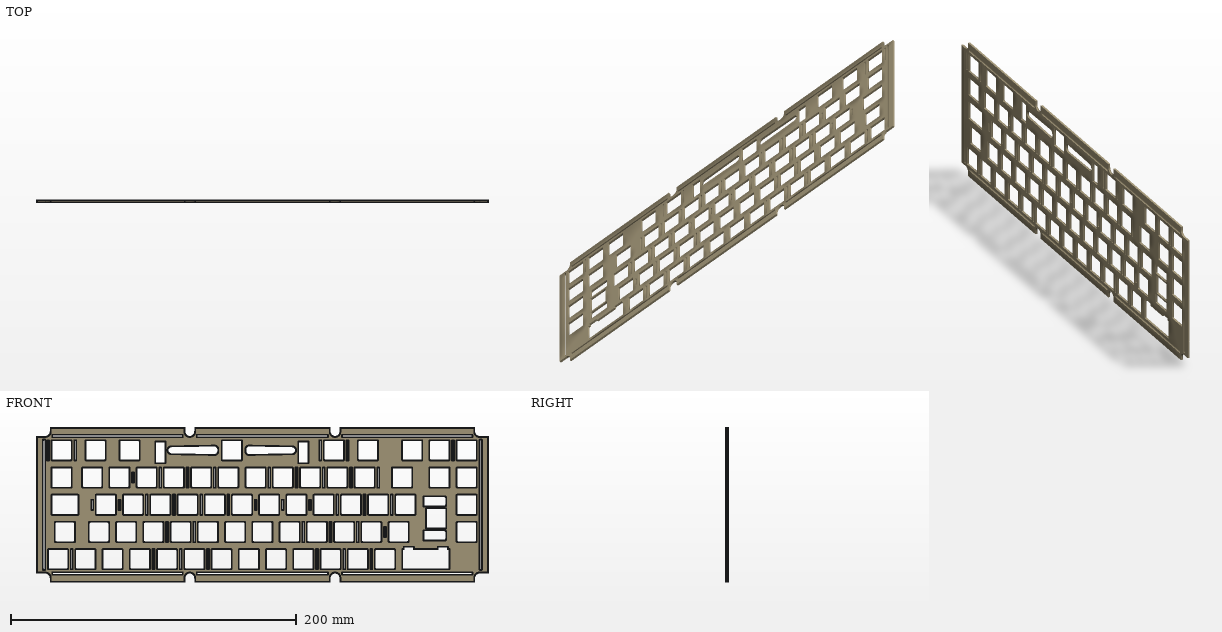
import cadquery as cq

thickness = 1.5
pitch = 19.05
units_wide = 16
row_count = 5

overall_width = 315.75
bump_out = 0.1
plate_width = overall_width - bump_out
plate_height = 107.7
side_strip_height = 95.0
rail_end_x = 148.2
relief_radius = 3.65
relief_x = 50.8
bump_bottom = -45.4
bump_top = -34.0

slit_width = 1.5
rail_width = 5.0
rail_slit_inset = 1.3
side_strip_width = 4.35
side_slit_length = 91.5

switch_size = 14.0
switch_corner_radius = 0.5
flex_slot_width = 1.2
flex_slot_long = 14.0
flex_slot_short = 7.0
stab_width = 7.0
stab_reach_open = 8.7
stab_spacing = 23.8
wide_stab_spacing = 100.0
wide_stab_above = 6.0
wide_stab_below = 9.0
stab_corner_radius = 1.0
backspace_opening_width = 33.0
taper_inner = 9.6
taper_length = 35.2
taper_wide_height = 6.5
taper_narrow_height = 5.2
taper_corner_radius = 2.4

switch_rows = [
    [0.5 + i for i in range(13)],
    [0.75] + [2 + i for i in range(12)] + [15.5],
    [2.25 + i for i in range(12)] + [15.5],
    [0.625] + [1.75 + i for i in range(11)] + [13.125, 14.5, 15.5],
    [0.625, 1.875, 3.125, 6.875, 10.625, 11.875, 13.5, 14.5, 15.5],
]
long_slot_rows = [
    [1, 4, 5, 6, 10, 11, 12],
    [4.5, 5.5, 9.5, 10.5, 11.5],
    [3.75, 4.75, 5.75, 6.75, 10.75, 11.75, 12.75],
    [4.25, 5.25, 6.25, 8.25, 9.25, 10.25, 11.25, 12.25],
    [0.125, 1.125, 10.125, 11.125, 15],
]
short_slot_rows = [
    [],
    [12.5],
    [1.75, 2.75, 7.75, 8.75, 9.75],
    [3.25],
    [],
]
caps_lock_units = (0.625, 0.875)
caps_lock_row = 2
backspace_unit = 14
enter_unit = 14.375
enter_row = 1.5
space_unit = 6.875
space_row = 4


def column_x(unit):
    return (unit - units_wide / 2) * pitch


def row_z(row):
    return (row - (row_count - 1) / 2) * pitch


def through(sketch):
    """Extrude a sketch drawn in X and Z through the whole sheet, centred on Y = 0."""
    return sketch.extrude(thickness / 2, both=True)


def face_plane():
    return cq.Workplane("XZ")


def block(x_min, x_max, z_min, z_max):
    width = x_max - x_min
    height = z_max - z_min
    centre = ((x_min + x_max) / 2, (z_min + z_max) / 2)
    return through(face_plane().center(*centre).rect(width, height))


def openings(points, width, height):
    return through(face_plane().pushPoints(points).rect(width, height))


def grid_points(rows):
    """Turn rows of key-unit positions into (X, Z) points."""
    return [(column_x(unit), row_z(row)) for row, units in enumerate(rows) for unit in units]


def edge_relief(x, side):
    """Round-bottomed notch in the top (side = 1) or bottom (side = -1) edge."""
    floor_z = side * side_strip_height / 2
    centre_z = floor_z + side * relief_radius
    edge_z = side * plate_height / 2
    outline = (
        face_plane()
        .moveTo(x - relief_radius, edge_z)
        .lineTo(x - relief_radius, centre_z)
        .threePointArc((x, floor_z), (x + relief_radius, centre_z))
        .lineTo(x + relief_radius, edge_z)
        .close()
    )
    return through(outline)


def plate_blank():
    """Side strips and rails, with round reliefs at the corners and between the rails."""
    blank = block(-plate_width / 2, plate_width / 2, -side_strip_height / 2, side_strip_height / 2)
    corner_x = rail_end_x + relief_radius
    blank = blank.union(block(-corner_x, corner_x, -plate_height / 2, plate_height / 2))
    for x in (-corner_x, -relief_x, relief_x, corner_x):
        for side in (-1, 1):
            blank = blank.cut(edge_relief(x, side))
    bump = block(0, plate_width / 2 + bump_out, bump_bottom, bump_top)
    return blank.union(bump)


def frame_slits():
    """One slit along each of the six rails, and a round-ended one along each side strip."""
    rail_slit_z = plate_height / 2 - rail_width - slit_width / 2
    middle_end = relief_x - relief_radius - rail_slit_inset
    outer_start = relief_x + relief_radius + rail_slit_inset
    outer_end = rail_end_x - rail_slit_inset
    outer_x = (outer_start + outer_end) / 2
    middle_points = [(0, -rail_slit_z), (0, rail_slit_z)]
    outer_points = [(x, z) for x in (-outer_x, outer_x) for z in (-rail_slit_z, rail_slit_z)]
    side_x = plate_width / 2 - side_strip_width - slit_width / 2
    side_sketch = face_plane().pushPoints([(-side_x, 0), (side_x, 0)])
    middle_slits = openings(middle_points, 2 * middle_end, slit_width)
    outer_slits = openings(outer_points, outer_end - outer_start, slit_width)
    side_slits = through(side_sketch.slot2D(side_slit_length, slit_width, 90))
    return middle_slits.union(outer_slits).union(side_slits)


def switch_openings():
    squares = openings(grid_points(switch_rows), switch_size, switch_size)
    return squares.edges("|Y").fillet(switch_corner_radius)


def caps_lock_opening():
    first_x, last_x = [column_x(unit) for unit in caps_lock_units]
    z = row_z(caps_lock_row)
    half_switch = switch_size / 2
    opening = block(first_x - half_switch, last_x + half_switch, z - half_switch, z + half_switch)
    return opening.edges("|Y").fillet(switch_corner_radius)


def backspace_opening():
    x = column_x(backspace_unit)
    z = row_z(0)
    half_switch = switch_size / 2
    half_width = backspace_opening_width / 2
    opening = block(x - half_width, x + half_width, z - half_switch, z + half_switch)
    for side in (-1, 1):
        tab_x = x + side * stab_spacing / 2
        tab = block(tab_x - stab_width / 2, tab_x + stab_width / 2, z, z + stab_reach_open)
        opening = opening.union(tab)
    return opening


def enter_openings():
    x = column_x(enter_unit)
    z = row_z(enter_row)
    opening = openings([(x, z)], switch_size, switch_size)
    for side in (-1, 1):
        stab_z = z + side * stab_spacing / 2
        stab = block(
            x - stab_reach_open, x + switch_size / 2, stab_z - stab_width / 2, stab_z + stab_width / 2
        )
        opening = opening.union(stab.edges("|Y and >X").fillet(stab_corner_radius))
    return opening


def tapered_opening(side):
    """Long opening that narrows away from the space-bar switch."""
    wide_x = column_x(space_unit) + side * taper_inner
    narrow_x = wide_x + side * taper_length
    z = row_z(space_row)
    outline = [
        (wide_x, z - taper_wide_height / 2),
        (narrow_x, z - taper_narrow_height / 2),
        (narrow_x, z + taper_narrow_height / 2),
        (wide_x, z + taper_wide_height / 2),
    ]
    opening = through(face_plane().polyline(outline).close())
    return opening.edges("|Y").fillet(taper_corner_radius)


def space_openings():
    x = column_x(space_unit)
    z = row_z(space_row)
    opening = tapered_opening(-1).union(tapered_opening(1))
    for side in (-1, 1):
        stab_x = x + side * wide_stab_spacing / 2
        stab = block(
            stab_x - stab_width / 2, stab_x + stab_width / 2, z - wide_stab_below, z + wide_stab_above
        )
        opening = opening.union(stab)
    return opening


plate = plate_blank()
plate = plate.cut(frame_slits())
plate = plate.cut(switch_openings())
plate = plate.cut(caps_lock_opening())
plate = plate.cut(openings(grid_points(long_slot_rows), flex_slot_width, flex_slot_long))
plate = plate.cut(openings(grid_points(short_slot_rows), flex_slot_width, flex_slot_short))
plate = plate.cut(backspace_opening())
plate = plate.cut(enter_openings())
plate = plate.cut(space_openings())

result = plate